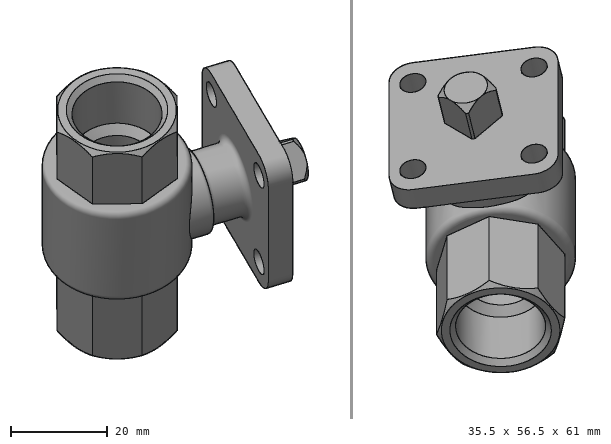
import cadquery as cq
import math

body_length = 61.0
barrel_diameter = 31.0
barrel_top = 15.5
barrel_bottom = -10.45
barrel_fillet = 1.5
octagon_corner_diameter = 26.95
octagon_sides = 8
octagon_chamfer = 1.2

bore_diameter = 15.0
socket_diameter = 18.6
socket_depth = 13.35
socket_mouth_diameter = 21.0

neck_diameter = 16.0
collar_diameter = 19.0
shoulder_end = 19.0
shoulder_inner_radius = 1.0
shoulder_outer_radius = 0.8
neck_plate_fillet = 1.5

plate_width = 35.5
plate_height = 37.5
plate_start = 26.5
plate_thickness = 5.5
plate_corner_radius = 5.0
plate_hole_diameter = 5.5
plate_hole_circle_diameter = 36.0

stem_flats = 9.0
stem_corner_diameter = 12.15
stem_chamfer = 1.5
stem_end = 41.0

half_length = body_length / 2
plate_end = plate_start + plate_thickness


def plane_facing_y(y):
    """XZ workplane at the given Y, with extrusions running toward +Y."""
    return cq.Workplane(cq.Plane(origin=(0, y, 0), xDir=(1, 0, 0), normal=(0, 1, 0)))


def make_pipe_ends():
    octagon = (
        cq.Workplane("XY")
        .workplane(offset=-half_length)
        .polygon(octagon_sides, octagon_corner_diameter)
        .extrude(body_length)
    )
    chamfered_round = (
        cq.Workplane("XY")
        .workplane(offset=-half_length)
        .circle(octagon_corner_diameter / 2)
        .extrude(body_length)
        .edges()
        .chamfer(octagon_chamfer)
    )
    return octagon.intersect(chamfered_round)


def make_barrel():
    return (
        cq.Workplane("XY")
        .workplane(offset=barrel_bottom)
        .circle(barrel_diameter / 2)
        .extrude(barrel_top - barrel_bottom)
        .edges("%CIRCLE")
        .fillet(barrel_fillet)
    )


def make_neck():
    """Revolve the neck, with an S-shaped shoulder and a flare at the plate."""
    neck_radius = neck_diameter / 2
    collar_radius = collar_diameter / 2
    radius_sum = shoulder_inner_radius + shoulder_outer_radius
    turn = math.acos(1 - (collar_radius - neck_radius) / radius_sum)
    shoulder_start = shoulder_end - radius_sum * math.sin(turn)

    def collar_arc(angle):
        return (
            collar_radius - shoulder_outer_radius * (1 - math.cos(angle)),
            shoulder_start + shoulder_outer_radius * math.sin(angle),
        )

    def neck_arc(angle):
        return (
            neck_radius + shoulder_inner_radius * (1 - math.cos(angle)),
            shoulder_end - shoulder_inner_radius * math.sin(angle),
        )

    flare_start = plate_start - neck_plate_fillet
    flare_middle = (
        neck_radius + neck_plate_fillet * (1 - math.sqrt(0.5)),
        flare_start + neck_plate_fillet * math.sqrt(0.5),
    )
    return (
        cq.Workplane("XY")
        .lineTo(collar_radius, 0)
        .lineTo(collar_radius, shoulder_start)
        .threePointArc(collar_arc(turn / 2), collar_arc(turn))
        .threePointArc(neck_arc(turn / 2), (neck_radius, shoulder_end))
        .lineTo(neck_radius, flare_start)
        .threePointArc(flare_middle, (neck_radius + neck_plate_fillet, plate_start))
        .lineTo(0, plate_start)
        .close()
        .revolve(360, (0, 0, 0), (0, 1, 0))
    )


def make_plate():
    hole_pitch = plate_hole_circle_diameter / math.sqrt(2)
    plate = (
        plane_facing_y(plate_start)
        .rect(plate_width, plate_height)
        .extrude(plate_thickness)
        .edges("|Y")
        .fillet(plate_corner_radius)
    )
    holes = (
        plane_facing_y(plate_start)
        .rect(hole_pitch, hole_pitch, forConstruction=True)
        .vertices()
        .circle(plate_hole_diameter / 2)
        .extrude(plate_thickness)
    )
    return plate.cut(holes)


def make_stem():
    stem_length = stem_end - plate_end
    square = (
        plane_facing_y(plate_end)
        .polygon(4, stem_flats * math.sqrt(2))
        .extrude(stem_length)
    )
    chamfered_round = (
        plane_facing_y(plate_end)
        .circle(stem_corner_diameter / 2)
        .extrude(stem_length)
        .faces(">Y")
        .chamfer(stem_chamfer)
    )
    return square.intersect(chamfered_round)


def make_passage():
    """Revolve the bore, its sockets and their 45 degree cones."""
    bore_radius = bore_diameter / 2
    socket_radius = socket_diameter / 2
    mouth_radius = socket_mouth_diameter / 2
    socket_start = half_length - (mouth_radius - socket_radius)
    socket_floor = half_length - socket_depth
    bore_start = socket_floor - (socket_radius - bore_radius)
    upper_half = (
        cq.Workplane("XZ")
        .polyline([
            (0, 0),
            (bore_radius, 0),
            (bore_radius, bore_start),
            (socket_radius, socket_floor),
            (socket_radius, socket_start),
            (mouth_radius, half_length),
            (0, half_length),
        ])
        .close()
        .revolve(360, (0, 0, 0), (0, 1, 0))
    )
    return upper_half.union(upper_half.mirror("XY"))


result = (
    make_pipe_ends()
    .union(make_barrel())
    .union(make_neck())
    .union(make_plate())
    .union(make_stem())
    .cut(make_passage())
)